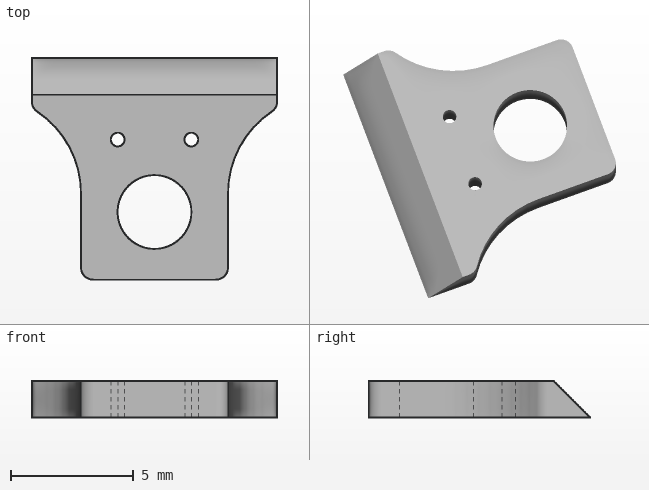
import cadquery as cq
import math

blade_width = 10.0
length = 9.04
thickness = 1.5

shank_width = 6.0
corner_radius = 0.5
flare_radius = 4.0
flare_start_y = 3.52

main_hole_diameter = 3.0
main_hole_y = 2.76
pin_hole_diameter = 0.55
pin_hole_spacing = 3.0
pin_hole_y = 5.71

half_blade = blade_width / 2
half_shank = shank_width / 2

flare_x = half_shank + flare_radius
round_x = half_blade - corner_radius
centre_distance = flare_radius + corner_radius
flare_angle = math.acos((flare_x - round_x) / centre_distance)
round_y = flare_start_y + centre_distance * math.sin(flare_angle)


def flare_point(angle):
    """Point on the right-hand flare, at an angle above its start on the shank."""
    return (
        flare_x - flare_radius * math.cos(angle),
        flare_start_y + flare_radius * math.sin(angle),
    )


def round_point(angle):
    """Point on the right-hand blade corner round, at an angle below +X."""
    return (
        round_x + corner_radius * math.cos(angle),
        round_y - corner_radius * math.sin(angle),
    )


def make_plate():
    half_outline = (
        cq.Workplane("XY")
        .lineTo(half_shank, 0)
        .lineTo(half_shank, flare_start_y)
        .threePointArc(flare_point(flare_angle / 2), flare_point(flare_angle))
        .threePointArc(round_point(flare_angle / 2), round_point(0))
        .lineTo(half_blade, length)
        .lineTo(0, length)
        .close()
    )
    half = half_outline.extrude(thickness)
    plate = half.union(half.mirror("YZ")).clean()
    return plate.edges("|Z and <Y").fillet(corner_radius)


def make_bevel_cutter():
    """Wedge that bevels the blade at 45 degrees to a sharp bottom edge."""
    return (
        cq.Workplane("YZ")
        .moveTo(length, 0)
        .lineTo(length, thickness)
        .lineTo(length - thickness, thickness)
        .close()
        .extrude(half_blade, both=True)
    )


def make_hole(x, y, diameter):
    return cq.Workplane("XY").center(x, y).circle(diameter / 2).extrude(thickness)


result = make_plate().cut(make_bevel_cutter())
result = result.cut(make_hole(0, main_hole_y, main_hole_diameter))
for side in (-1, 1):
    pin_hole_x = side * pin_hole_spacing / 2
    result = result.cut(make_hole(pin_hole_x, pin_hole_y, pin_hole_diameter))